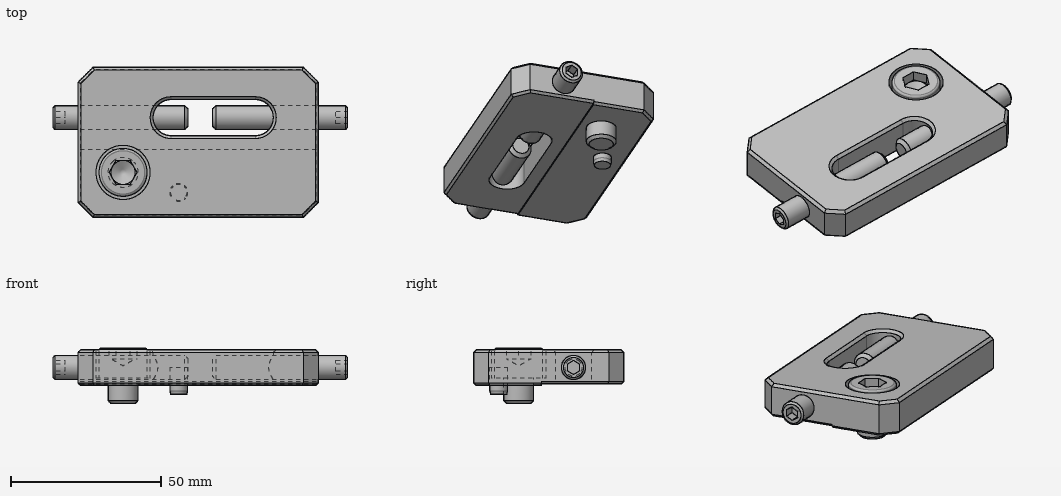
import cadquery as cq
import math


OVERALL_LENGTH = 98.0
OVERALL_HEIGHT = 18.5

PLATE_LENGTH = 80.0
PLATE_WIDTH = 50.0
PLATE_THICKNESS = 12.0
CORNER_CHAMFER = 5.0
TOP_CHAMFER = 1.0
BOTTOM_CHAMFER = 0.8
RELIEF_DEPTH = 0.5
RELIEF_EDGE_Y = -2.45

SLOT_LENGTH = 40.0
SLOT_WIDTH = 12.0
SLOT_CHAMFER = 1.0
CHAMFER_ANGLE = 45.0
SLOT_X = 5.0
SLOT_Y = 8.2

SET_SCREW_DIAMETER = 8.0
SET_SCREW_LENGTH = 45.0
SET_SCREW_TIP_CHAMFER = 1.2
SET_SCREW_END_CHAMFER = 0.7
SET_SCREW_HEX = 4.0
SET_SCREW_HEX_DEPTH = 4.0
SET_SCREW_Z = PLATE_THICKNESS / 2
LEFT_PROTRUSION = 8.3
LEFT_END_X = -PLATE_LENGTH / 2 - LEFT_PROTRUSION
RIGHT_END_X = LEFT_END_X + OVERALL_LENGTH

CAP_X = -25.0
CAP_Y = -10.0
HEAD_DIAMETER = 16.0
HEAD_HEIGHT = 10.0
HEAD_STANDOUT = 0.5
HEAD_FILLET = 0.8
SHANK_DIAMETER = 10.0
SHANK_CHAMFER = 1.0
CAP_HEX = 8.0
CAP_HEX_DEPTH = 3.6
DRILL_POINT_ANGLE = 120.0
COUNTERBORE_DIAMETER = 18.0
HEAD_TOP_Z = PLATE_THICKNESS + HEAD_STANDOUT
HEAD_SEAT_Z = HEAD_TOP_Z - HEAD_HEIGHT

DOWEL_X = -6.5
DOWEL_Y = -16.7
DOWEL_DIAMETER = 6.0
DOWEL_PROTRUSION = 2.9
DOWEL_HOLE_DEPTH = 6.0
DOWEL_LEAD_LENGTH = 1.2
DOWEL_LEAD_INSET = 0.3


def hex_corner_diameter(across_flats):
    return across_flats / math.cos(math.pi / 6)


def cylinder(diameter, x, y, bottom_z, height):
    """Upright cylinder standing on bottom_z."""
    return cq.Workplane("XY", origin=(x, y, bottom_z)).circle(diameter / 2).extrude(height)


def make_block(bottom_z):
    """Octagonal block from bottom_z to the plate top, with chamfered rims."""
    return (
        cq.Workplane("XY", origin=(0, 0, bottom_z))
        .rect(PLATE_LENGTH, PLATE_WIDTH)
        .extrude(PLATE_THICKNESS - bottom_z)
        .edges("|Z").chamfer(CORNER_CHAMFER)
        .faces(">Z").edges().chamfer(TOP_CHAMFER)
        .faces("<Z").edges().chamfer(BOTTOM_CHAMFER)
    )


def make_slot():
    """Slot cutter with a chamfered mouth at the plate top."""
    slot = (
        cq.Workplane("XY", origin=(SLOT_X, SLOT_Y, 0))
        .slot2D(SLOT_LENGTH, SLOT_WIDTH)
        .extrude(PLATE_THICKNESS)
    )
    mouth = (
        cq.Workplane("XY", origin=(SLOT_X, SLOT_Y, PLATE_THICKNESS))
        .slot2D(SLOT_LENGTH + 2 * SLOT_CHAMFER, SLOT_WIDTH + 2 * SLOT_CHAMFER)
        .extrude(-SLOT_CHAMFER, taper=CHAMFER_ANGLE)
    )
    return slot.union(mouth)


def make_plate():
    relief_side = cq.Workplane("XY", origin=(-PLATE_LENGTH / 2, RELIEF_EDGE_Y, 0)).box(
        PLATE_LENGTH, PLATE_WIDTH / 2 - RELIEF_EDGE_Y, PLATE_THICKNESS, centered=False
    )
    foot = make_block(0).cut(relief_side)
    plate = make_block(RELIEF_DEPTH).union(foot)

    set_screw_bore = (
        cq.Workplane("YZ", origin=(0, SLOT_Y, SET_SCREW_Z))
        .circle(SET_SCREW_DIAMETER / 2)
        .extrude(PLATE_LENGTH / 2, both=True)
    )
    counterbore = cylinder(COUNTERBORE_DIAMETER, CAP_X, CAP_Y, HEAD_SEAT_Z, HEAD_HEIGHT)
    shank_hole = cylinder(SHANK_DIAMETER, CAP_X, CAP_Y, 0, PLATE_THICKNESS)
    dowel_hole = cylinder(DOWEL_DIAMETER, DOWEL_X, DOWEL_Y, 0, DOWEL_HOLE_DEPTH)
    for cutter in (make_slot(), set_screw_bore, counterbore, shank_hole, dowel_hole):
        plate = plate.cut(cutter)
    return plate


def make_set_screw(end_x, direction):
    """Set screw whose socket end lies at end_x and whose tip points along direction (+1 or -1) in X."""
    socket_end = cq.Plane(
        origin=(end_x, SLOT_Y, SET_SCREW_Z), xDir=(0, 0, 1), normal=(direction, 0, 0)
    )
    body = (
        cq.Workplane(socket_end)
        .circle(SET_SCREW_DIAMETER / 2)
        .extrude(SET_SCREW_LENGTH)
    )
    tip_side, end_side = (">X", "<X") if direction > 0 else ("<X", ">X")
    body = body.faces(tip_side).edges().chamfer(SET_SCREW_TIP_CHAMFER)
    body = body.faces(end_side).edges().chamfer(SET_SCREW_END_CHAMFER)
    socket = (
        cq.Workplane(socket_end)
        .polygon(6, hex_corner_diameter(SET_SCREW_HEX))
        .extrude(SET_SCREW_HEX_DEPTH)
    )
    return body.cut(socket)


def make_cap_screw():
    head = cylinder(HEAD_DIAMETER, CAP_X, CAP_Y, HEAD_SEAT_Z, HEAD_HEIGHT)
    head = head.faces(">Z").edges().fillet(HEAD_FILLET)

    shank_length = OVERALL_HEIGHT - HEAD_HEIGHT
    shank = cylinder(SHANK_DIAMETER, CAP_X, CAP_Y, HEAD_SEAT_Z - shank_length, shank_length)
    shank = shank.faces("<Z").edges().chamfer(SHANK_CHAMFER)

    corner_diameter = hex_corner_diameter(CAP_HEX)
    socket_floor_z = HEAD_TOP_Z - CAP_HEX_DEPTH
    socket = (
        cq.Workplane("XY", origin=(CAP_X, CAP_Y, socket_floor_z))
        .polygon(6, corner_diameter)
        .extrude(CAP_HEX_DEPTH)
    )
    cone_radius = CAP_HEX / 2
    cone_height = cone_radius / math.tan(math.radians(DRILL_POINT_ANGLE / 2))
    drill_point = cq.Workplane("XY").add(
        cq.Solid.makeCone(
            cone_radius, 0, cone_height,
            pnt=cq.Vector(CAP_X, CAP_Y, socket_floor_z), dir=cq.Vector(0, 0, -1),
        )
    )
    return head.union(shank).cut(socket).cut(drill_point)


def make_dowel():
    length = DOWEL_PROTRUSION + DOWEL_HOLE_DEPTH
    body = cylinder(DOWEL_DIAMETER, DOWEL_X, DOWEL_Y, -DOWEL_PROTRUSION, length)
    return body.faces("<Z").edges().chamfer(DOWEL_LEAD_LENGTH, DOWEL_LEAD_INSET)


plate = make_plate()
set_screws = [make_set_screw(x, direction) for x, direction in ((LEFT_END_X, 1), (RIGHT_END_X, -1))]
cap_screw = make_cap_screw()
dowel = make_dowel()

result = cq.Compound.makeCompound(
    [plate.val(), *[screw.val() for screw in set_screws], cap_screw.val(), dowel.val()]
)